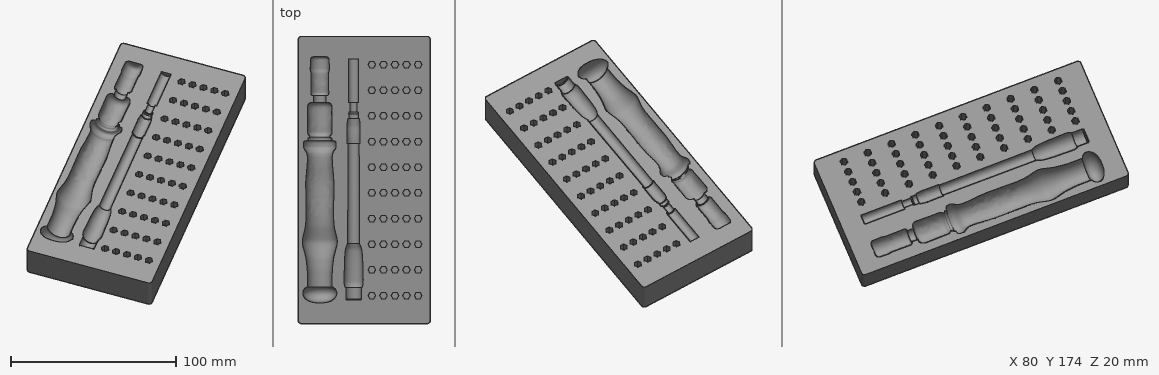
import cadquery as cq
import math

LENGTH = 173.95
WIDTH = 80.0
HEIGHT = 20.0
CORNER_RADIUS = 2.0

BIT_SIDES = 6
BIT_ACROSS_FLATS = 4.0
BIT_DEPTH = 15.0
BIT_COLUMNS = 5
BIT_ROWS = 10
COLUMN_PITCH = 7.0
ROW_PITCH = 15.53
GRID_CENTRE_X = 18.6

HANDLE_AXIS_X = -26.9
SHAFT_AXIS_X = -6.45

HANDLE_CAP = [
    (0, 74.7), (2.5, 74.7), (4.2, 74.5), (5.3, 73.7), (5.7, 72.0), (5.75, 69.0), (5.7, 66.4),
    (5.4, 65.2), (5.4, 62.0), (5.4, 54.0), (5.3, 52.0), (4.6, 51.1),
]
HANDLE_NECK = [(3.75, 51.1), (3.75, 47.0)]
HANDLE_GRIP = [
    (4.0, 47.0), (6.2, 46.5), (7.2, 45.2), (7.55, 43.5), (7.55, 41.0), (7.45, 36.0), (7.3, 29.5), (7.1, 27.8),
    (6.2, 26.5), (6.4, 25.7), (7.2, 25.2), (7.2, 24.2),
    (8.7, 23.7), (9.7, 22.9), (9.9, 21.6), (9.8, 19.7),
    (8.4, 17.4), (7.7, 15.4), (7.5, 13.0), (7.6, 10.0), (8.2, 4.0), (8.6, -4.0), (8.3, -20.0), (8.9, -29.0),
    (10.2, -34.4), (10.6, -37.2), (10.1, -40.5), (8.6, -46.0), (7.8, -52.0), (7.6, -54.0),
    (7.5, -57.0), (7.5, -64.7),
]
HANDLE_KNOB = [
    (7.5, -64.7), (9.6, -66.3), (10.3, -68.6), (9.8, -70.3), (8.0, -72.4),
    (4.6, -73.9), (2.2, -74.3), (0, -74.4),
]
HANDLE = [HANDLE_CAP, HANDLE_NECK, HANDLE_GRIP, HANDLE_KNOB]

SHAFT_PLAIN_END = [(3.1, 73.3), (3.1, 47.0)]
SHAFT_NECK = [(2.15, 47.0), (2.15, 41.1)]
SHAFT_RING = [(2.8, 41.1), (3.0, 40.1)]
SHAFT_GROOVE = [(2.9, 40.1), (2.9, 37.3)]
SHAFT_SMALL_BARREL = [(3.4, 37.3), (3.8, 35.2), (4.0, 32.0), (4.0, 22.2)]
SHAFT_ROD = [(3.4, 22.2), (3.6, -38.4)]
SHAFT_LARGE_BARREL = [
    (3.6, -38.4), (4.9, -42.0), (5.4, -46.5), (5.65, -52.0), (5.65, -57.0), (5.6, -63.4), (5.0, -65.0),
]
SHAFT_SOCKET = [(4.7, -65.0), (4.7, -71.9)]
SHAFT_SOCKET_BEVEL = [(4.7, -71.9), (4.4, -72.6)]
SHAFT = [
    SHAFT_PLAIN_END, SHAFT_NECK, SHAFT_RING, SHAFT_GROOVE, SHAFT_SMALL_BARREL,
    SHAFT_ROD, SHAFT_LARGE_BARREL, SHAFT_SOCKET, SHAFT_SOCKET_BEVEL,
]


def make_block():
    block = cq.Workplane("XY").box(WIDTH, LENGTH, HEIGHT, centered=(True, True, False))
    return block.edges("|Z").fillet(CORNER_RADIUS)


def make_bit_sockets():
    across_corners = BIT_ACROSS_FLATS / math.cos(math.pi / BIT_SIDES)
    return (
        cq.Workplane("XY", origin=(GRID_CENTRE_X, 0, HEIGHT))
        .rarray(COLUMN_PITCH, ROW_PITCH, BIT_COLUMNS, BIT_ROWS)
        .polygon(BIT_SIDES, across_corners)
        .extrude(-BIT_DEPTH)
    )


def make_tool(axis_x, sections):
    """Turn the tool about its axis: straight line for two points, smooth curve for more."""
    outline = cq.Workplane("XY", origin=(axis_x, 0, HEIGHT))
    first_y = sections[0][0][1]
    last_y = sections[-1][-1][1]
    position = (0, first_y)
    outline = outline.moveTo(*position)
    for section in sections:
        if section[0] != position:
            outline = outline.lineTo(*section[0])
        if len(section) == 2:
            outline = outline.lineTo(*section[1])
        else:
            outline = outline.spline(section[1:], includeCurrent=True)
        position = section[-1]
    if position != (0, last_y):
        outline = outline.lineTo(0, last_y)
    return outline.close().revolve(360, (0, 0), (0, 1))


handle_pocket = make_tool(HANDLE_AXIS_X, HANDLE)
shaft_pocket = make_tool(SHAFT_AXIS_X, SHAFT)
result = make_block().cut(make_bit_sockets()).cut(handle_pocket).cut(shaft_pocket)